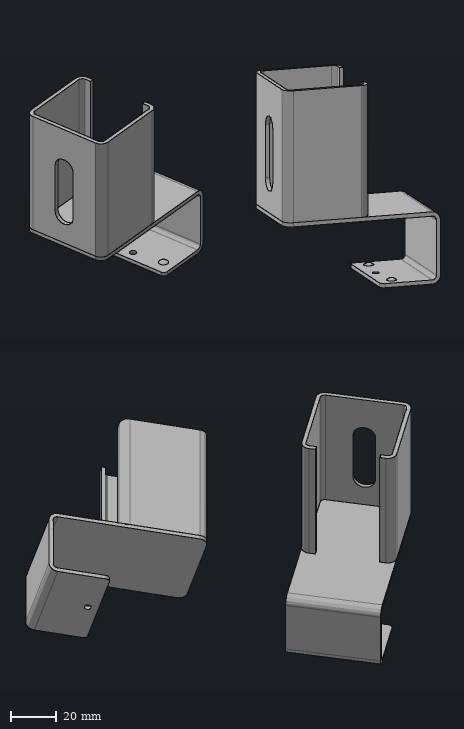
import cadquery as cq
import math

sheet = 2.0
bend_outer = 4.0
bend_inner = bend_outer - sheet
width = 43.0

bracket_length = 73.0
bracket_height = 33.0
flange_length = 28.0
flange_tip_y = bracket_length - flange_length
flange_corner_radius = 2.0

hole_diameter = 3.0
hole_from_tip = 5.0
dimple_spacing = 31.0
dimple_from_tip = 7.0
dimple_height = 1.0
dimple_sphere_radius = 3.0

channel_depth = 40.0
channel_height = 60.0
lip_length = 7.0

slot_width = 10.0
slot_length = 34.0
slot_above_bracket = 10.0
slot_center_z = bracket_height + slot_above_bracket + slot_length / 2


def make_dimple(x):
    """Raised spherical cap on the upper face of the bottom flange."""
    base_radius = math.sqrt(dimple_sphere_radius**2 - (dimple_sphere_radius - dimple_height) ** 2)
    shoulder = base_radius / math.sqrt(2)
    sphere_center_z = dimple_height - dimple_sphere_radius
    shoulder_z = sphere_center_z + math.sqrt(dimple_sphere_radius**2 - shoulder**2)
    return (
        cq.Workplane("XZ")
        .moveTo(0, -sheet / 2)
        .lineTo(base_radius, -sheet / 2)
        .lineTo(base_radius, 0)
        .threePointArc((shoulder, shoulder_z), (0, dimple_height))
        .close()
        .revolve(360, (0, 0), (0, 1))
        .translate((x, flange_tip_y + dimple_from_tip, sheet))
    )


def make_bracket():
    """Strip bent twice into a hook, with a hole and two dimples in its bottom flange."""
    block = (
        cq.Workplane("XY")
        .box(width, bracket_length, bracket_height, centered=(True, False, False))
        .edges("|X and >Y")
        .fillet(bend_outer)
    )
    inside = (
        cq.Workplane("XY")
        .box(width, bracket_length - sheet, bracket_height - 2 * sheet, centered=(True, False, False))
        .edges("|X and >Y")
        .fillet(bend_inner)
        .translate((0, 0, sheet))
    )
    below_top_plate = cq.Workplane("XY").box(
        width, flange_tip_y, bracket_height - sheet, centered=(True, False, False)
    )
    bracket = block.cut(inside).cut(below_top_plate)

    bracket = bracket.edges("|Z and <Y").fillet(bend_outer)
    flange_corners = cq.selectors.BoxSelector(
        (-width, flange_tip_y - sheet, -sheet), (width, flange_tip_y + sheet, 2 * sheet)
    )
    bracket = bracket.edges("|Z").edges(flange_corners).fillet(flange_corner_radius)

    hole = (
        cq.Workplane("XY")
        .center(0, flange_tip_y + hole_from_tip)
        .circle(hole_diameter / 2)
        .extrude(sheet)
    )
    bracket = bracket.cut(hole)
    for side in (-1, 1):
        bracket = bracket.union(make_dimple(side * dimple_spacing / 2))
    return bracket


def make_channel():
    """Upright C section, open at the rear between its two lips, slotted at the front."""
    tube = (
        cq.Workplane("XY")
        .box(width, channel_depth, channel_height, centered=(True, False, False))
        .edges("|Z")
        .fillet(bend_outer)
    )
    bore = (
        cq.Workplane("XY")
        .box(width - 2 * sheet, channel_depth - 2 * sheet, channel_height, centered=(True, False, False))
        .edges("|Z")
        .fillet(bend_inner)
        .translate((0, sheet, 0))
    )
    rear_gap = (
        cq.Workplane("XY")
        .box(width - 2 * lip_length, channel_depth / 2, channel_height, centered=(True, False, False))
        .translate((0, channel_depth / 2, 0))
    )
    channel = tube.cut(bore).cut(rear_gap).translate((0, 0, bracket_height))
    slot = (
        cq.Workplane("XZ")
        .center(0, slot_center_z)
        .slot2D(slot_length, slot_width, 90)
        .extrude(-sheet)
    )
    return channel.cut(slot)


bracket = make_bracket()
channel = make_channel()

result = cq.Compound.makeCompound([bracket.val(), channel.val()])